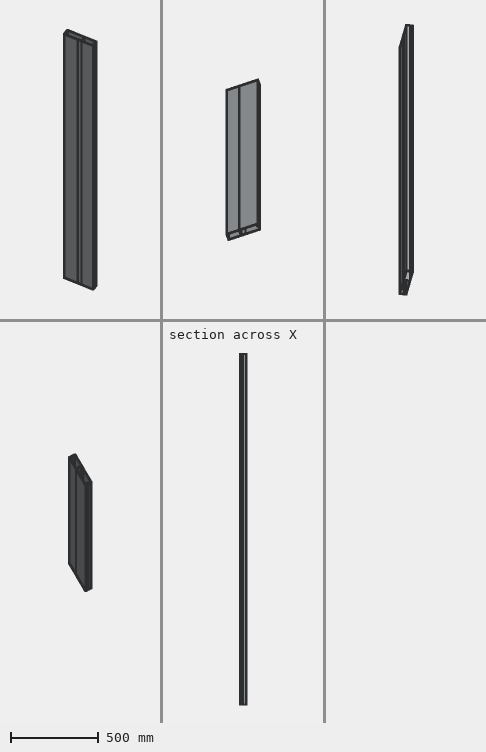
import cadquery as cq

WIDTH = 190.0
DEPTH = 38.0
LENGTH = 2000.0
WALL = 2.0
SEAM_Y = 5.0
DIVIDER_X = 18.0
TONGUE_HEIGHT = 5.0
TONGUE_WIDTH = 5.0
FOOT_THICKNESS = 2.0
FOOT_WIDTH = 25.0

TONGUE_START_Y = SEAM_Y - WALL
FRONT_Y = -DEPTH / 2
BACK_Y = DEPTH / 2
FLOOR_Y = FRONT_Y + WALL
CEILING_Y = BACK_Y - WALL
OUTER_X = WIDTH / 2
INNER_X = OUTER_X - WALL
DIVIDER_LEFT = DIVIDER_X - WALL / 2
DIVIDER_RIGHT = DIVIDER_X + WALL / 2


def bar(x_start, x_end, y_start, y_end):
    """Full-length rectangular bar between two X planes and two Y planes."""
    return cq.Workplane("XY").box(
        x_end - x_start, y_end - y_start, LENGTH, centered=False
    ).translate((x_start, y_start, 0))


def make_base():
    """Front plate with side walls, clip tongues inside them and a footed divider."""
    base = bar(-OUTER_X, OUTER_X, FRONT_Y, FLOOR_Y)
    for side in (-1, 1):
        wall_left, wall_right = sorted((side * OUTER_X, side * INNER_X))
        base = base.union(bar(wall_left, wall_right, FRONT_Y, SEAM_Y))
        tongue_left, tongue_right = sorted((side * INNER_X, side * (INNER_X - TONGUE_WIDTH)))
        base = base.union(bar(tongue_left, tongue_right, TONGUE_START_Y, SEAM_Y + TONGUE_HEIGHT))
    divider = bar(DIVIDER_LEFT, DIVIDER_RIGHT, FRONT_Y, CEILING_Y)
    foot = bar(DIVIDER_LEFT - FOOT_WIDTH, DIVIDER_LEFT, FRONT_Y, FLOOR_Y + FOOT_THICKNESS)
    return base.union(divider).union(foot)


def make_lid():
    """Back plate with two side walls that end on the seam."""
    lid = bar(-OUTER_X, OUTER_X, CEILING_Y, BACK_Y)
    lid = lid.union(bar(-OUTER_X, -INNER_X, SEAM_Y, BACK_Y))
    return lid.union(bar(INNER_X, OUTER_X, SEAM_Y, BACK_Y))


base = make_base()
lid = make_lid()

result = cq.Compound.makeCompound([base.val(), lid.val()])